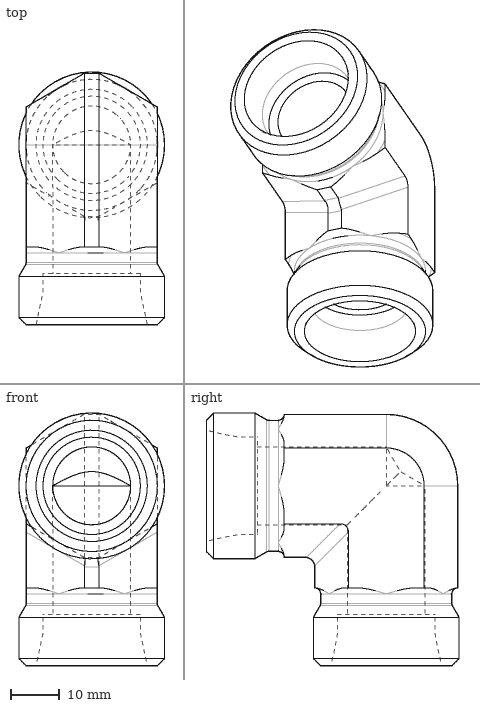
import cadquery as cq
import math

overall_length = 52.0
thread_radius = 30.0 / 2
arm_length = overall_length - thread_radius

across_flats = 27.0
half_flats = across_flats / 2
half_corner_height = 14.7
inner_corner_radius = 2.0

neck_radius = half_flats
thread_length = 10.0
thread_chamfer = thread_radius - neck_radius
shoulder_angle = 30.0
shoulder_blend_radius = 1.0
thread_start = arm_length - thread_length
shoulder_length = (thread_radius - neck_radius) / math.tan(math.radians(shoulder_angle))
flare_radius = half_corner_height - neck_radius
neck_start = 22.2
hex_end = neck_start - flare_radius

bore_radius = 16.0 / 2
drill_tip_angle = 120.0
tube_radius = 20.0 / 2
tube_socket_depth = 10.5
seat_mouth_radius = 11.45
seat_cone_angle = 24.0
seat_depth = (seat_mouth_radius - tube_radius) / math.tan(math.radians(seat_cone_angle / 2))

side_edge_height = half_flats / math.sqrt(3)
ridge = [(-half_flats, side_edge_height), (0, 2 * side_edge_height), (half_flats, side_edge_height)]


def revolve_about_arm(profile):
    """Turn an XZ profile of (radius, -distance) about the Z axis."""
    return profile.close().revolve(360, (0, 0, 0), (0, 1, 0))


def on_both_arms(shape):
    """The shape on the -Z arm together with its copy on the -Y arm."""
    return shape.union(shape.rotate((0, 0, 0), (1, 0, 0), -90))


def hex_prism():
    """Sharp hexagonal prism on the -Z arm."""
    hexagon = ridge + [(-x, -y) for x, y in ridge]
    return cq.Workplane("XY").polyline(hexagon).close().extrude(-neck_start)


def outer_bend():
    """Quarter turn of the upper half hexagon about X, joining the two prisms."""
    half_hexagon = [(-half_flats, 0)] + ridge + [(half_flats, 0)]
    return cq.Workplane("XZ").polyline(half_hexagon).close().revolve(90, (0, 0, 0), (-1, 0, 0))


def elbow_block():
    """Hexagonal elbow with sharp ridges and a rounded inside corner."""
    block = on_both_arms(hex_prism()).union(outer_bend())
    near = -1.1 * side_edge_height
    far = -2 * side_edge_height
    inside_edges = cq.selectors.BoxSelector((-half_flats, far, far), (half_flats, near, near))
    return block.edges(inside_edges).fillet(inner_corner_radius)


def ridge_truncation():
    """L-shaped bar that cuts the ridges to a narrow flat along the whole elbow."""
    h = half_corner_height
    r = inner_corner_radius
    return (
        cq.Workplane("YZ")
        .moveTo(-neck_start, h)
        .lineTo(0, h)
        .radiusArc((h, 0), h)
        .lineTo(h, -neck_start)
        .lineTo(-h, -neck_start)
        .lineTo(-h, -h - r)
        .radiusArc((-h - r, -h), -r)
        .lineTo(-neck_start, -h)
        .close()
        .extrude(half_flats, both=True)
    )


def flare_cut():
    """Concave quarter-round that leads from the ridges down to the neck."""
    clear_radius = across_flats
    return revolve_about_arm(
        cq.Workplane("XZ")
        .moveTo(clear_radius, -hex_end)
        .lineTo(half_corner_height, -hex_end)
        .radiusArc((neck_radius, -neck_start), -flare_radius)
        .lineTo(clear_radius, -neck_start)
    )


def turned_end():
    """Neck, conical shoulder and chamfered thread cylinder."""
    angle = math.radians(shoulder_angle)
    blend_length = shoulder_blend_radius * math.tan(angle / 2)
    shoulder_start = thread_start - shoulder_length
    blend_start = shoulder_start - blend_length
    blend_end = blend_start + shoulder_blend_radius * math.sin(angle)
    blend_end_radius = neck_radius + shoulder_blend_radius * (1 - math.cos(angle))
    return revolve_about_arm(
        cq.Workplane("XZ")
        .moveTo(0, -neck_start)
        .lineTo(neck_radius, -neck_start)
        .lineTo(neck_radius, -blend_start)
        .radiusArc((blend_end_radius, -blend_end), -shoulder_blend_radius)
        .lineTo(thread_radius, -thread_start)
        .lineTo(thread_radius, -arm_length + thread_chamfer)
        .lineTo(thread_radius - thread_chamfer, -arm_length)
        .lineTo(0, -arm_length)
    )


def arm_bore():
    """Blind drilling with conical tip, tube socket and conical seat."""
    tip_height = bore_radius / math.tan(math.radians(drill_tip_angle / 2))
    socket_floor = arm_length - tube_socket_depth
    return revolve_about_arm(
        cq.Workplane("XZ")
        .moveTo(0, tip_height)
        .lineTo(bore_radius, 0)
        .lineTo(bore_radius, -socket_floor)
        .lineTo(tube_radius, -socket_floor)
        .lineTo(tube_radius, -arm_length + seat_depth)
        .lineTo(seat_mouth_radius, -arm_length)
        .lineTo(0, -arm_length)
    )


body = elbow_block().intersect(ridge_truncation())
body = body.cut(on_both_arms(flare_cut()))
body = body.union(on_both_arms(turned_end()))
result = body.cut(on_both_arms(arm_bore()))